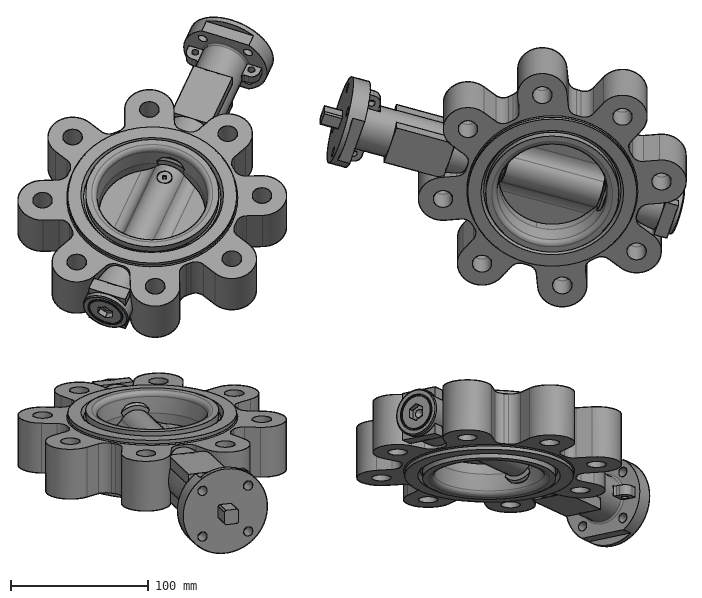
import cadquery as cq
import math

overall_width = 183.7
overall_length = 271.0

body_radius = 65.0
body_half_height = 19.2
lug_count = 8
bolt_circle_radius = 80.0
lug_pitch = 2 * math.pi / lug_count
lug_radius = overall_width / 2 - bolt_circle_radius * math.cos(lug_pitch / 2)
lug_hole_dia = 14.0
root_fillet = 8.0
neck_root_y = body_radius - root_fillet

facing_dia = 123.0
facing_base_dia = 124.7
facing_base_step = 0.8
facing_z = 22.8
groove_outer_dia = 103.8
groove_floor_dia = 100.0

liner_dia = 97.0
liner_z = 25.0
lip_dia = 88.0
throat_dia = 80.5
lip_round = (lip_dia - throat_dia) / 2
bore_dia = 77.2
bore_half_height = 9.0
seat_dia = 35.0
seat_y = 37.5
seat_chamfer = 1.5

disc_half_thickness = 1.22
hub_radius = 13.0
hub_fillet = 11.5
hub_half_length = 36.0
journal_dia = 15.0
screw_dia = 10.8
screw_y = 25.0
screw_socket_dia = 3.3
screw_socket_depth = 1.5

neck_dia = 35.0
neck_flat_width = 30.0
neck_flat_start_y = 78.5
neck_flat_end_y = 123.5
neck_fillet = 1.4
flange_dia = 65.0
flange_y = 148.8
flange_thickness = 13.0
flange_bolt_circle_dia = 49.9
flange_hole_dia = 7.0
label_flat_z = 26.8
label_flat_length = 9.2
ear_x = 22.0
ear_y = 144.7
ear_radius = 6.5
ear_hole_dia = 5.0
ear_thickness = 7.5
ear_fillet = 1.5

stem_width = 11.0
stem_corner_dia = 14.0
stem_end_y = 175.3

boss_end_y = stem_end_y - overall_length
boss_chamfer = 0.8
boss_pad_width = 28.5
boss_pad_half_height = 18.0
boss_pad_start_y = -92.0
boss_pad_length = 9.8
plug_dia = 25.0
plug_bore_dia = 27.0
plug_groove_depth = 0.8
hex_width = 11.0
hex_depth = 4.3
drill_dia = 6.5
drill_tip_depth = 3.3


def y_cylinder(diameter, y_start, y_end, x=0, z=0):
    """Cylinder along +Y between two Y positions."""
    return cq.Workplane("XZ", origin=(x, y_end, z)).circle(diameter / 2).extrude(y_end - y_start)


def y_box(width, height, y_start, y_end):
    """Box centred on the Y axis between two Y positions."""
    return cq.Workplane().box(width, y_end - y_start, height).translate((0, (y_start + y_end) / 2, 0))


def polar(radius, angle):
    return (radius * math.cos(angle), radius * math.sin(angle))


def lug_body():
    """Central disc with rounded lugs and filleted roots, drilled for the bolts."""
    root_centre_radius = body_radius + root_fillet
    root_angle = math.asin((lug_radius + root_fillet) / root_centre_radius)
    root_end = math.sqrt(root_centre_radius**2 - (lug_radius + root_fillet) ** 2)
    flank_radius = math.hypot(root_end, lug_radius)
    flank_angle = math.atan2(lug_radius, root_end)
    shoulder_radius = math.hypot(bolt_circle_radius, lug_radius)
    shoulder_angle = math.atan2(lug_radius, bolt_circle_radius)
    tip_radius = bolt_circle_radius + lug_radius

    outline = cq.Workplane().workplane(offset=-body_half_height)
    outline = outline.moveTo(*polar(body_radius, lug_pitch / 2 - root_angle))
    for index in range(lug_count):
        angle = (index + 0.5) * lug_pitch
        outline = (
            outline.radiusArc(polar(flank_radius, angle - flank_angle), root_fillet)
            .lineTo(*polar(shoulder_radius, angle - shoulder_angle))
            .threePointArc(polar(tip_radius, angle), polar(shoulder_radius, angle + shoulder_angle))
            .lineTo(*polar(flank_radius, angle + flank_angle))
            .radiusArc(polar(body_radius, angle + root_angle), root_fillet)
            .threePointArc(
                polar(body_radius, angle + lug_pitch / 2),
                polar(body_radius, angle + lug_pitch - root_angle),
            )
        )
    body = outline.close().extrude(2 * body_half_height)
    holes = (
        cq.Workplane()
        .polarArray(bolt_circle_radius, math.degrees(lug_pitch / 2), 360, lug_count)
        .circle(lug_hole_dia / 2)
        .extrude(body_half_height, both=True)
    )
    return body.cut(holes)


def facing():
    """Upper flange facing with the liner ring standing in its groove."""
    profile = (
        cq.Workplane("XZ")
        .lineTo(facing_base_dia / 2, 0)
        .lineTo(facing_base_dia / 2, body_half_height)
        .lineTo(facing_dia / 2, body_half_height + facing_base_step)
        .lineTo(facing_dia / 2, facing_z)
        .lineTo(groove_outer_dia / 2, facing_z)
        .lineTo(groove_floor_dia / 2, body_half_height)
        .lineTo(liner_dia / 2, body_half_height)
        .lineTo(liner_dia / 2, liner_z)
        .lineTo(0, liner_z)
        .close()
    )
    return profile.revolve(360, (0, 0, 0), (0, 1, 0))


def bore():
    """Upper half of the liner bore: straight seat, tapered throat and rounded lip."""
    profile = (
        cq.Workplane("XZ")
        .lineTo(bore_dia / 2, 0)
        .lineTo(bore_dia / 2, bore_half_height)
        .lineTo(throat_dia / 2, liner_z - lip_round)
        .radiusArc((lip_dia / 2, liner_z), lip_round)
        .lineTo(0, liner_z)
        .close()
    )
    return profile.revolve(360, (0, 0, 0), (0, 1, 0))


def both_sides(upper):
    return upper.union(upper.mirror("XY"))


def disc():
    """Flat disc with a central hub blended into it, and the retaining screw."""
    blend_x = math.sqrt((hub_radius + hub_fillet) ** 2 - (disc_half_thickness + hub_fillet) ** 2)
    contact = hub_radius / (hub_radius + hub_fillet)
    contact_x = blend_x * contact
    contact_z = (disc_half_thickness + hub_fillet) * contact
    hub = (
        cq.Workplane("XZ")
        .moveTo(-blend_x, 0)
        .lineTo(-blend_x, disc_half_thickness)
        .radiusArc((-contact_x, contact_z), -hub_fillet)
        .threePointArc((0, hub_radius), (contact_x, contact_z))
        .radiusArc((blend_x, disc_half_thickness), -hub_fillet)
        .lineTo(blend_x, 0)
        .close()
        .extrude(hub_half_length, both=True)
    )
    envelope = cq.Workplane().circle(bore_dia / 2).extrude(hub_radius, both=True)
    plate = cq.Workplane().circle(bore_dia / 2).extrude(disc_half_thickness, both=True)
    screw = cq.Workplane().center(0, screw_y).circle(screw_dia / 2).extrude(hub_radius)
    socket = (
        cq.Workplane()
        .workplane(offset=hub_radius - screw_socket_depth)
        .center(0, screw_y)
        .circle(screw_socket_dia / 2)
        .extrude(screw_socket_depth)
    )
    hub = both_sides(hub).intersect(envelope)
    return plate.union(hub).union(screw).cut(socket)


def journal_seats():
    """Flat seats raised from the bore wall at both ends of the hub."""
    seat = y_cylinder(seat_dia, seat_y, neck_root_y).faces("<Y").chamfer(seat_chamfer)
    return seat.union(seat.mirror("XZ"))


def journals():
    """Shaft that carries the disc in the housing."""
    return y_cylinder(journal_dia, -body_radius, body_radius)


def neck():
    """Round neck with two flat label faces, filleted where it ends under the actuator flange."""
    tube = y_cylinder(neck_dia, neck_root_y, flange_y)
    flats = y_box(neck_flat_width, neck_dia, neck_flat_start_y, neck_flat_end_y)
    collar = (
        cq.Workplane()
        .moveTo(0, flange_y)
        .lineTo(neck_dia / 2 + neck_fillet, flange_y)
        .radiusArc((neck_dia / 2, flange_y - neck_fillet), -neck_fillet)
        .lineTo(0, flange_y - neck_fillet)
        .close()
        .revolve(360, (0, 0, 0), (0, 1, 0))
    )
    return tube.union(flats).union(collar)


def ears():
    """Two thin eyelets under the actuator flange, filleted into the neck."""
    ear_bottom_y = ear_y - ear_radius
    plate = (
        cq.Workplane()
        .moveTo(0, flange_y)
        .lineTo(ear_x + ear_radius, flange_y)
        .lineTo(ear_x + ear_radius, ear_y)
        .radiusArc((ear_x, ear_bottom_y), ear_radius)
        .lineTo(neck_dia / 2 + ear_fillet, ear_bottom_y)
        .radiusArc((neck_dia / 2, ear_bottom_y - ear_fillet), -ear_fillet)
        .lineTo(0, ear_bottom_y - ear_fillet)
        .close()
        .extrude(ear_thickness / 2, both=True)
    )
    hole = cq.Workplane().center(ear_x, ear_y).circle(ear_hole_dia / 2).extrude(ear_thickness, both=True)
    ear = plate.cut(hole)
    return ear.union(ear.mirror("YZ"))


def actuator_flange():
    """Drilled round flange with a label flat milled above and below."""
    plate = y_cylinder(flange_dia, flange_y, flange_y + flange_thickness)
    offset = flange_bolt_circle_dia / 2 * math.sqrt(0.5)
    for x in (-offset, offset):
        for z in (-offset, offset):
            plate = plate.cut(y_cylinder(flange_hole_dia, flange_y, flange_y + flange_thickness, x, z))
    label_band = y_cylinder(flange_dia, flange_y, flange_y + label_flat_length)
    kept = y_box(flange_dia, 2 * label_flat_z, flange_y, flange_y + label_flat_length)
    return plate.cut(label_band.cut(kept))


def stem_end():
    """Square drive end with turned corners."""
    square = y_box(stem_width, stem_width, flange_y, stem_end_y)
    return square.intersect(y_cylinder(stem_corner_dia, flange_y, stem_end_y))


def bottom_boss():
    """Lower bearing boss with label pads and a hexagon socket plug in its end."""
    boss = y_cylinder(neck_dia, boss_end_y, -neck_root_y)
    boss = boss.faces("<Y").chamfer(boss_chamfer)
    pads = y_box(
        boss_pad_width,
        2 * boss_pad_half_height,
        boss_pad_start_y,
        boss_pad_start_y + boss_pad_length,
    )
    groove = y_cylinder(plug_bore_dia, boss_end_y, boss_end_y + plug_groove_depth)
    groove = groove.cut(y_cylinder(plug_dia, boss_end_y, boss_end_y + plug_groove_depth))
    socket_floor_y = boss_end_y + hex_depth
    socket = (
        cq.Workplane("XZ", origin=(0, socket_floor_y, 0))
        .polygon(6, hex_width, circumscribed=True)
        .extrude(hex_depth)
    )
    drill_tip = (
        cq.Workplane(origin=(0, socket_floor_y, 0))
        .lineTo(drill_dia / 2, 0)
        .lineTo(0, drill_tip_depth)
        .close()
        .revolve(360, (0, 0, 0), (0, 1, 0))
    )
    return boss.union(pads).cut(groove).cut(socket).cut(drill_tip)


housing = lug_body().union(both_sides(facing())).union(neck()).union(bottom_boss())
housing = housing.cut(both_sides(bore())).union(journal_seats())
result = housing.union(journals()).union(disc())
result = result.union(actuator_flange()).union(ears()).union(stem_end())